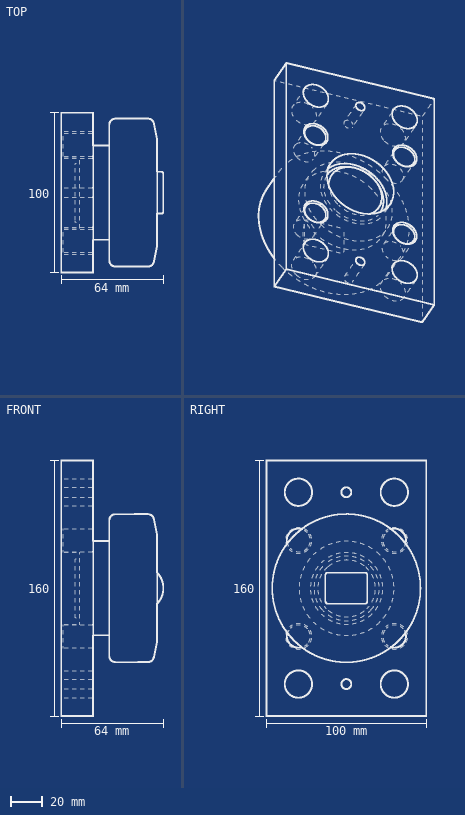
import cadquery as cq

plate_thickness = 20.0
plate_width = 100.0
plate_height = 160.0

hole_offset_y = 30.0
outer_hole_z = 60.0
inner_hole_z = hole_offset_y
mounting_hole_diameter = 17.0
pin_hole_diameter = 6.0
tapped_hole_diameter = 14.4
tapped_hole_chamfer = 1.0

hub_radius = 29.6
roller_radius = 46.4
roller_start = 30.0
roller_end = 60.0
roller_edge_radius = 4.0
roller_rim_end = 57.5
roller_face_radius = 33.6

side_roller_radius = 14.0
side_roller_length = 26.4
side_roller_edge_radius = 1.5
side_roller_projection = 4.0

recess_radius = 22.5
recess_depth = 11.2
axle_radius = 20.3
axle_end_radius = 18.0
axle_end_height = 2.9


def x_cylinder(radius, start, end):
    return cq.Workplane("YZ", origin=(start, 0, 0)).circle(radius).extrude(end - start)


def make_plate():
    plate = cq.Workplane("XY").box(
        plate_thickness, plate_width, plate_height, centered=(False, True, True)
    )

    def through_holes(points, diameter):
        return cq.Workplane("YZ").pushPoints(points).circle(diameter / 2).extrude(plate_thickness)

    sides = (-1, 1)
    mounting_points = [(y * hole_offset_y, z * outer_hole_z) for y in sides for z in sides]
    tapped_points = [(y * hole_offset_y, z * inner_hole_z) for y in sides for z in sides]
    pin_points = [(0, z * outer_hole_z) for z in sides]

    plate = plate.cut(through_holes(mounting_points, mounting_hole_diameter))
    plate = plate.cut(through_holes(pin_points, pin_hole_diameter))

    countersink = cq.Solid.makeCone(
        tapped_hole_diameter / 2 + tapped_hole_chamfer,
        tapped_hole_diameter / 2,
        tapped_hole_chamfer,
        dir=cq.Vector(1, 0, 0),
    )
    plate = plate.cut(through_holes(tapped_points, tapped_hole_diameter))
    for y, z in tapped_points:
        plate = plate.cut(cq.Workplane(countersink.translate(cq.Vector(0, y, z))))
    return plate


def make_main_roller():
    profile = (
        cq.Workplane("XY")
        .moveTo(roller_start, 0)
        .lineTo(roller_start, roller_radius)
        .lineTo(roller_rim_end, roller_radius)
        .lineTo(roller_end, roller_face_radius)
        .lineTo(roller_end, 0)
        .close()
    )
    roller = profile.revolve(360, (0, 0, 0), (1, 0, 0))
    rim = cq.selectors.RadiusNthSelector(-1)
    return roller.edges(rim).fillet(roller_edge_radius)


def make_side_roller():
    axis_x = roller_end + side_roller_projection - side_roller_radius
    return (
        cq.Workplane("XZ", origin=(axis_x, 0, 0))
        .circle(side_roller_radius)
        .extrude(side_roller_length / 2, both=True)
        .edges("%CIRCLE")
        .fillet(side_roller_edge_radius)
    )


def make_recess():
    recess = x_cylinder(recess_radius, 0, recess_depth)
    axle_end = cq.Solid.makeCone(
        axle_end_radius,
        axle_radius,
        axle_end_height,
        pnt=cq.Vector(recess_depth - axle_end_height, 0, 0),
        dir=cq.Vector(1, 0, 0),
    )
    return recess.cut(cq.Workplane(axle_end))


result = (
    make_plate()
    .union(x_cylinder(hub_radius, plate_thickness, roller_start))
    .union(make_main_roller())
    .union(make_side_roller())
    .cut(make_recess())
)